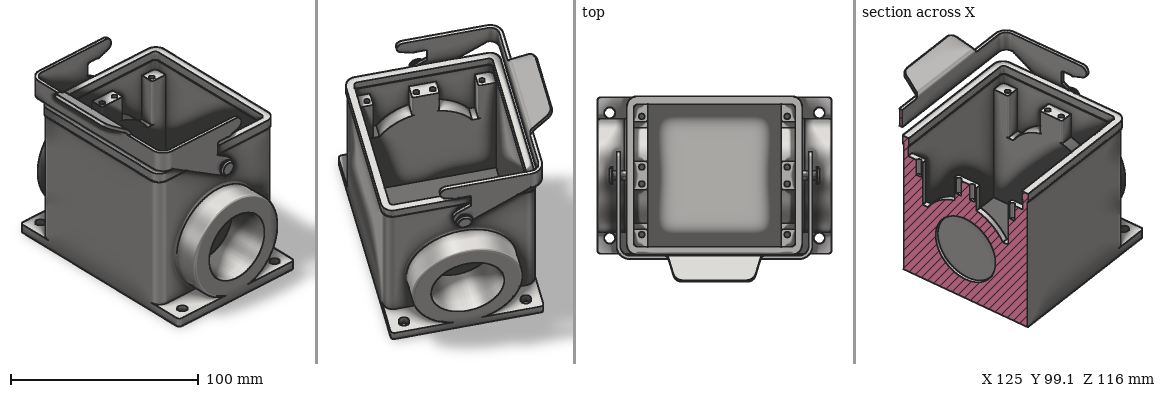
import cadquery as cq
import math

body_x = 93.2
body_y = 83.6
corner_radius = 6.0
rim_x = 93.8
rim_y = 84.8
rim_z = 89.6
rim_height = 5.6
rim_bottom_z = rim_z - rim_height
plate_x = 125.0
plate_thickness = 5.2
plate_corner_radius = 2.0
plate_hole_diameter = 5.8
plate_hole_x = 55.9
plate_hole_y = 33.4

mouth_x = 86.0
mouth_y = 76.0
mouth_corner_radius = 2.2
undercut = 0.5
cavity_x = mouth_x + 2 * undercut
cavity_y = mouth_y + 2 * undercut
cavity_corner_radius = mouth_corner_radius + undercut
cavity_floor_z = plate_thickness

wall_x = 35.5
wall_shelf_z = 49.5
post_top_z = 77.5
corner_post_y = 28.8
middle_post_y = 7.5
post_edge_radius = 1.0
screw_hole_diameter = 3.1
screw_hole_depth = 10.0
screw_hole_x = 38.8
corner_screw_y = 31.5
middle_screw_y = 4.5

boss_z = 33.0
boss_radius = 30.2
boss_fillet = 1.4
bore_radius = 20.0
bore_end_x = 37.0

sheet = 2.0
lever_x = 52.2
lever_front_y = -44.6
lever_bend_radius = 7.1
lever_top_z = 106.4
lever_bar_bottom_z = 94.8
arm_angle = math.radians(30)
eye_radius = 5.5
tip_radius = 3.8
tip_end_y = 12.6
hook_slope = math.radians(21)
hook_point = (3.4, 96.6)
slot_top = (2.2, 97.0)
slot_end_y = -4.2
slot_corner_radius = 1.4

pivot_z = 79.8
pin_radius = 2.6
head_radius = 4.6
head_chamfer = 1.0
head_x = 54.4
head_end_x = 56.1

tab_angle = math.radians(30)
tab_bend_radius = 1.5
tab_length = 13.1
tab_root_half_width = 24.4
tab_tip_half_width = 20.9
tab_corner_radius = 5.0
tab_flare_radius = 2.5


def block(x0, x1, y0, y1, z0, z1):
    return cq.Workplane("XY").box(x1 - x0, y1 - y0, z1 - z0, centered=False).translate((x0, y0, z0))


def rounded_block(size_x, size_y, z0, z1, radius):
    centered = block(-size_x / 2, size_x / 2, -size_y / 2, size_y / 2, z0, z1)
    return centered.edges("|Z").fillet(radius)


def make_shell():
    plate = rounded_block(plate_x, body_y, 0, plate_thickness, plate_corner_radius)
    body = rounded_block(body_x, body_y, 0, rim_z, corner_radius)
    rim = rounded_block(rim_x, rim_y, rim_bottom_z, rim_z, corner_radius)
    plate_holes = (
        cq.Workplane("XY")
        .rect(2 * plate_hole_x, 2 * plate_hole_y, forConstruction=True)
        .vertices()
        .circle(plate_hole_diameter / 2)
        .extrude(plate_thickness)
    )
    return plate.union(body).union(rim).cut(plate_holes)


def make_cavity():
    cavity = rounded_block(cavity_x, cavity_y, cavity_floor_z, rim_bottom_z, cavity_corner_radius)
    mouth = rounded_block(mouth_x, mouth_y, rim_bottom_z, rim_z, mouth_corner_radius)
    return cavity.union(mouth)


def make_boss():
    """Boss on the +X end, rounded at its outer edge and flared where it meets the body."""
    end_x = plate_x / 2
    root_x = body_x / 2
    profile = (
        cq.Workplane("XY")
        .moveTo(wall_x, 0)
        .lineTo(end_x, 0)
        .lineTo(end_x, boss_radius - boss_fillet)
        .radiusArc((end_x - boss_fillet, boss_radius), -boss_fillet)
        .lineTo(root_x + boss_fillet, boss_radius)
        .radiusArc((root_x, boss_radius + boss_fillet), boss_fillet)
        .lineTo(root_x, boss_radius)
        .lineTo(wall_x, boss_radius)
        .close()
    )
    return profile.revolve(360, (0, 0, 0), (1, 0, 0)).translate((0, 0, boss_z))


def make_bore():
    """Blind bore in the +X boss, closed by a thin web towards the cavity."""
    depth = plate_x / 2 - bore_end_x
    return cq.Workplane("YZ", origin=(bore_end_x, 0, boss_z)).circle(bore_radius).extrude(depth)


def make_end_wall():
    """Thick wall at the +X end of the cavity with its screw posts."""
    outer_x = cavity_x / 2
    half_y = cavity_y / 2
    wall = block(wall_x, outer_x, -half_y, half_y, cavity_floor_z, wall_shelf_z)
    middle = block(wall_x, outer_x, -middle_post_y, middle_post_y, wall_shelf_z, post_top_z)
    wall = wall.union(middle.edges("|Z and <X").fillet(post_edge_radius))
    for side, edge in ((1, "|Z and <X and <Y"), (-1, "|Z and <X and >Y")):
        near_y, far_y = sorted((side * corner_post_y, side * half_y))
        post = block(wall_x, outer_x, near_y, far_y, wall_shelf_z, post_top_z)
        wall = wall.union(post.edges(edge).fillet(post_edge_radius))
    return wall


def make_screw_holes():
    centers = [(screw_hole_x, side * y) for side in (1, -1) for y in (corner_screw_y, middle_screw_y)]
    return (
        cq.Workplane("XY", origin=(0, 0, post_top_z))
        .pushPoints(centers)
        .circle(screw_hole_diameter / 2)
        .extrude(-screw_hole_depth)
    )


def make_pin():
    """Headed pivot pin on the +X end, starting halfway through the body wall."""
    root_x = (cavity_x + body_x) / 4
    shank = cq.Workplane("YZ", origin=(root_x, 0, pivot_z)).circle(pin_radius).extrude(head_end_x - root_x)
    head = cq.Workplane("YZ", origin=(head_x, 0, pivot_z)).circle(head_radius).extrude(head_end_x - head_x)
    return shank.union(head.faces(">X").chamfer(head_chamfer))


def make_lever():
    """U-shaped strap trimmed to the side outline of its hooked arms."""
    back_y = tip_end_y + sheet
    outer = block(-lever_x, lever_x, lever_front_y, back_y, 0, lever_top_z)
    outer = outer.edges("|Z and <Y").fillet(lever_bend_radius)
    inner_x = lever_x - sheet
    inner = block(-inner_x, inner_x, lever_front_y + sheet, back_y, 0, lever_top_z)
    inner = inner.edges("|Z and <Y").fillet(lever_bend_radius - sheet)

    tangent_y = eye_radius * math.sin(arm_angle)
    tangent_z = eye_radius * math.cos(arm_angle)
    slope = math.tan(arm_angle)
    arm_top_z = pivot_z + tangent_z + (tangent_y - slot_end_y) * slope
    eye_bottom_z = pivot_z - tangent_z
    bar_start_y = -tangent_y - (lever_bar_bottom_z - eye_bottom_z) / slope

    tip_y = tip_end_y - tip_radius
    tip_z = lever_top_z - tip_radius
    tip_exit = (tip_y + tip_radius * math.sin(hook_slope), tip_z - tip_radius * math.cos(hook_slope))
    outline = (
        cq.Workplane("YZ", origin=(-lever_x, 0, 0))
        .moveTo(lever_front_y, lever_top_z)
        .lineTo(tip_y, lever_top_z)
        .threePointArc((tip_end_y, tip_z), tip_exit)
        .lineTo(*hook_point)
        .lineTo(*slot_top)
        .lineTo(slot_end_y + slot_corner_radius, slot_top[1])
        .radiusArc((slot_end_y, slot_top[1] - slot_corner_radius), -slot_corner_radius)
        .lineTo(slot_end_y, arm_top_z)
        .lineTo(tangent_y, pivot_z + tangent_z)
        .threePointArc((tangent_z, pivot_z - tangent_y), (-tangent_y, eye_bottom_z))
        .lineTo(bar_start_y, lever_bar_bottom_z)
        .lineTo(lever_front_y, lever_bar_bottom_z)
        .close()
        .extrude(2 * lever_x)
    )
    return outer.cut(inner).intersect(outline)


def make_tab():
    """Bent strip along the bar, trimmed to the tab outline square to its sloping face."""
    out_y = -math.cos(tab_angle)
    out_z = math.sin(tab_angle)
    center_y = lever_front_y - tab_bend_radius
    upper_radius = tab_bend_radius + sheet

    def on_bend(radius, angle):
        return center_y + radius * math.cos(angle), lever_top_z + radius * math.sin(angle)

    def along_tab(point):
        return point[0] + tab_length * out_y, point[1] + tab_length * out_z

    turn = math.pi / 2 - tab_angle
    upper_end = on_bend(upper_radius, turn)
    lower_end = on_bend(tab_bend_radius, turn)
    strip = (
        cq.Workplane("YZ", origin=(-lever_x, 0, 0))
        .moveTo(*on_bend(tab_bend_radius, 0))
        .lineTo(*on_bend(upper_radius, 0))
        .threePointArc(on_bend(upper_radius, turn / 2), upper_end)
        .lineTo(*along_tab(upper_end))
        .lineTo(*along_tab(lower_end))
        .lineTo(*lower_end)
        .threePointArc(on_bend(tab_bend_radius, turn / 2), on_bend(tab_bend_radius, 0))
        .close()
        .extrude(2 * lever_x)
    )

    foot = upper_radius * math.sin(turn)
    taper = (tab_root_half_width - tab_tip_half_width) / tab_length
    foot_half_width = tab_root_half_width + taper * foot
    wide = foot_half_width + 2 * tab_flare_radius
    sloping_plane = cq.Plane((0, *upper_end), (-1, 0, 0), (0, out_z, -out_y))
    outline = (
        cq.Workplane(sloping_plane)
        .polyline([
            (-wide, -2 * foot),
            (wide, -2 * foot),
            (wide, -foot),
            (foot_half_width, -foot),
            (tab_tip_half_width, tab_length),
            (-tab_tip_half_width, tab_length),
            (-foot_half_width, -foot),
            (-wide, -foot),
        ])
        .close()
        .extrude(2 * sheet, both=True)
    )
    corner_centers = [(side * tab_tip_half_width, tab_length) for side in (1, -1)]
    flare_centers = [(side * foot_half_width, -foot) for side in (1, -1)]
    for centers, radius in ((corner_centers, tab_corner_radius), (flare_centers, tab_flare_radius)):
        for center in centers:
            corner = cq.selectors.NearestToPointSelector(sloping_plane.toWorldCoords(center).toTuple())
            outline = outline.edges(corner).fillet(radius)
    return strip.intersect(outline)


def both_ends(part):
    return part.union(part.mirror("YZ"))


housing = make_shell().cut(make_cavity()).union(both_ends(make_boss().union(make_end_wall())))
housing = housing.cut(both_ends(make_bore())).cut(both_ends(make_screw_holes()))

lever = make_lever().union(make_tab())
result = housing.union(both_ends(make_pin())).union(lever)